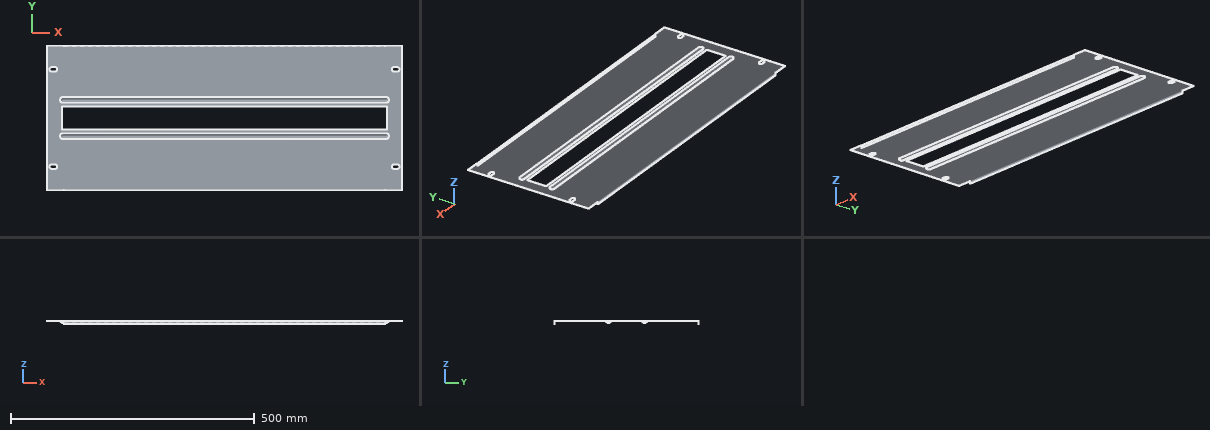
import cadquery as cq
import math

length = 730.0
width = 298.0
height = 6.5
sheet = 1.0

flange_inset = 34.0
bend_radius = 1.5
flange_length = length - 2 * flange_inset

window_length = 667.0
window_width = 47.0

slot_length = 15.0
slot_width = 9.0
slot_spacing_x = 704.0
slot_spacing_y = 200.0

groove_length = 676.0
groove_width = 12.0
groove_offset = 37.0
groove_straight = groove_length - groove_width
wall_angle = math.radians(36)
nose_radius = 2.0
nose_center_z = nose_radius / math.cos(wall_angle) - groove_width / 2 * math.tan(wall_angle)


def groove_body(offset):
    """Groove shape with conical ends and a rounded bottom, grown outward by offset."""
    radius = nose_radius + offset
    tangent_y = radius * math.sin(wall_angle)
    tangent_z = nose_center_z - radius * math.cos(wall_angle)
    top_y = groove_width / 2 + offset / math.sin(wall_angle)
    half_profile = (
        cq.Workplane("YZ")
        .lineTo(top_y, 0)
        .lineTo(tangent_y, tangent_z)
        .threePointArc(
            (radius * math.sin(wall_angle / 2), nose_center_z - radius * math.cos(wall_angle / 2)),
            (0, nose_center_z - radius),
        )
        .close()
    )
    half_bar = half_profile.extrude(groove_straight / 2, both=True)
    round_end = half_profile.toPending().revolve(360, (0, 0, 0), (0, 1, 0))
    body = half_bar.union(half_bar.mirror("XZ"))
    for x in (-groove_straight / 2, groove_straight / 2):
        body = body.union(round_end.translate((x, 0, 0)))
    return body


def flanged_sheet():
    """Flat plate with a shorter, rounded downward fold along each long edge."""
    end_strip = cq.Workplane().box(length, width, sheet).translate((0, 0, -sheet / 2))
    middle = (
        cq.Workplane("YZ")
        .rect(width, 2 * height)
        .extrude(flange_length / 2, both=True)
        .edges("|X and >Z")
        .fillet(bend_radius)
        .translate((0, 0, -height))
    )
    hollow = (
        cq.Workplane("YZ")
        .rect(width - 2 * sheet, 2 * height)
        .extrude(flange_length / 2, both=True)
        .edges("|X and >Z")
        .fillet(bend_radius - sheet)
        .translate((0, 0, -height - sheet))
    )
    folded = middle.cut(hollow)
    lower_limit = cq.Workplane().box(length, width, height).translate((0, 0, -height / 2))
    flat_ends = end_strip.cut(cq.Workplane().box(flange_length, width, height))
    return folded.intersect(lower_limit).union(flat_ends)


panel = flanged_sheet()

groove_inside = groove_body(0)
groove_outside = groove_body(sheet)
for side in (-1, 1):
    shift = (0, side * groove_offset, 0)
    panel = panel.union(groove_outside.translate(shift)).cut(groove_inside.translate(shift))

panel = panel.cut(cq.Workplane().box(window_length, window_width, 2 * height))

mounting_slots = (
    cq.Workplane()
    .rarray(slot_spacing_x, slot_spacing_y, 2, 2)
    .slot2D(slot_length, slot_width)
    .extrude(height, both=True)
)
result = panel.cut(mounting_slots)